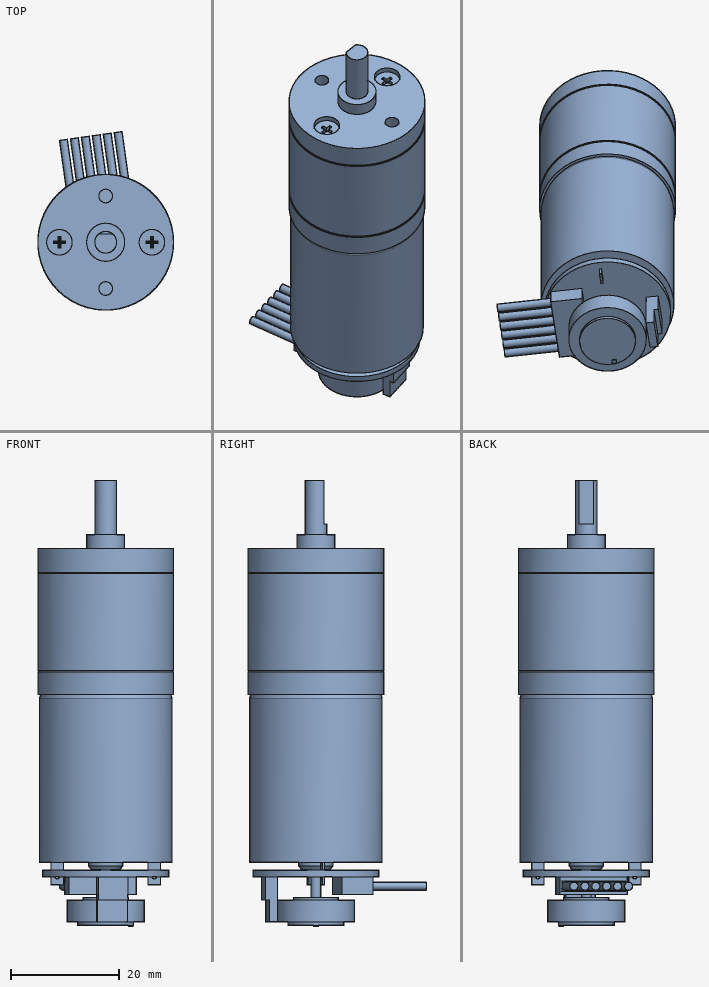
import cadquery as cq
import math


SHAFT_DIA = 4.0
SHAFT_TOP = 12.5
SHAFT_FLAT_DEPTH = 0.5
BOSS_DIA = 7.0
BOSS_HEIGHT = 2.5
ROUND_LENGTH = 2.0
FLAT_START = BOSS_HEIGHT + ROUND_LENGTH

GEARBOX_DIA = 25.0
END_PLATE_LENGTH = 4.4
RING_LENGTH = 18.1
GEARBOX_LENGTH = 2 * END_PLATE_LENGTH + RING_LENGTH
GROOVE_WIDTH = 0.25
GROOVE_DEPTH = 0.1

HOLE_CIRCLE_RADIUS = 8.5
MOUNT_HOLE_DIA = 2.5
MOUNT_HOLE_DEPTH = END_PLATE_LENGTH
SCREW_HEAD_DIA = 4.7
SCREW_HEAD_RECESS = 1.0
CROSS_LENGTH = 2.2
CROSS_WIDTH = 0.5
CROSS_DEPTH = 0.8
CROSS_TAPER = 12.0

MOTOR_DIA = 24.4
SHOULDER_DIA = 24.0
SHOULDER_LENGTH = 0.7
MOTOR_BOTTOM = -57.7

BEARING_DIA = 6.3
BEARING_TIP_DIA = 5.2
BEARING_LENGTH = 0.7
BEARING_CONE_LENGTH = 0.7

ENCODER_ANGLE = 8.0
BOARD_DIA = 23.2
BOARD_TOP = -59.15
BOARD_THICKNESS = 1.25
BOARD_BOTTOM = BOARD_TOP - BOARD_THICKNESS

TERMINAL_OFFSET = 9.0
TERMINAL_WIDTH = 2.3
TERMINAL_THICKNESS = 0.4
TERMINAL_BOTTOM = -61.85
TERMINAL_HOLE_DIA = 0.8
TERMINAL_HOLE_REACH = 0.35

CONNECTOR_LENGTH = 12.5
CONNECTOR_FRONT = 3.95
CONNECTOR_DEPTH = 5.8
CONNECTOR_BOTTOM = -63.65
CONNECTOR_BACK = CONNECTOR_FRONT + CONNECTOR_DEPTH
SOCKET_LENGTH = 11.8
SOCKET_HEIGHT = 2.0
SOCKET_DEPTH = 2.0
SOCKET_FLOOR = CONNECTOR_BACK - SOCKET_DEPTH
WIRE_COUNT = 6
WIRE_DIA = 1.5
WIRE_PITCH = 2.03
WIRE_Z = -62.1
REAR_REACH = 20.35

REAR_SHAFT_DIA = 1.8
WHEEL_DIA = 14.24
WHEEL_TOP = -64.65
WHEEL_BOTTOM = -68.65
UPPER_HUB_DIA = 8.3
UPPER_HUB_HEIGHT = 0.5
LOWER_HUB_DIA = 10.3
LOWER_HUB_HEIGHT = 0.65
MARK_DIA = 0.9
MARK_OFFSET = 4.6
PART_BOTTOM = -69.5

SENSOR_WIDTH = 5.5
SENSOR_FRONT = -9.75
SENSOR_BACK = -7.5
SENSOR_STEP = 0.8


def cylinder(diameter, bottom, top, x=0.0, y=0.0):
    """Upright cylinder between two heights."""
    return cq.Workplane("XY", origin=(x, y, bottom)).circle(diameter / 2).extrude(top - bottom)


def cone(bottom_diameter, top_diameter, bottom, top):
    """Frustum on the motor axis."""
    return (
        cq.Workplane("XY", origin=(0, 0, bottom))
        .circle(bottom_diameter / 2)
        .workplane(offset=top - bottom)
        .circle(top_diameter / 2)
        .loft(ruled=True)
    )


def block(x_range, y_range, z_range):
    """Box between pairs of limits."""
    sizes = [high - low for low, high in (x_range, y_range, z_range)]
    corner = (x_range[0], y_range[0], z_range[0])
    return cq.Workplane("XY").box(*sizes, centered=False).translate(corner)


def make_output_shaft():
    shaft = cylinder(SHAFT_DIA, 0, SHAFT_TOP)
    radius = SHAFT_DIA / 2
    flat = block((-radius, radius), (radius - SHAFT_FLAT_DEPTH, radius), (FLAT_START, SHAFT_TOP))
    return shaft.cut(flat).union(cylinder(BOSS_DIA, 0, BOSS_HEIGHT))


def make_cross_recess(x):
    top = -SCREW_HEAD_RECESS
    cross = cq.Workplane("XY", origin=(x, 0, top))
    arm = cross.rect(CROSS_LENGTH, CROSS_WIDTH).extrude(-CROSS_DEPTH, taper=CROSS_TAPER)
    other_arm = cross.rect(CROSS_WIDTH, CROSS_LENGTH).extrude(-CROSS_DEPTH, taper=CROSS_TAPER)
    return arm.union(other_arm)


def make_gearbox():
    gearbox = cylinder(GEARBOX_DIA, -GEARBOX_LENGTH, 0)
    for groove_top in (-END_PLATE_LENGTH, -END_PLATE_LENGTH - RING_LENGTH):
        groove_bottom = groove_top - GROOVE_WIDTH
        core = cylinder(GEARBOX_DIA - 2 * GROOVE_DEPTH, groove_bottom, groove_top)
        gearbox = gearbox.cut(cylinder(GEARBOX_DIA, groove_bottom, groove_top).cut(core))
    for side in (-1, 1):
        offset = side * HOLE_CIRCLE_RADIUS
        gearbox = gearbox.cut(cylinder(MOUNT_HOLE_DIA, -MOUNT_HOLE_DEPTH, 0, y=offset))
        gearbox = gearbox.cut(cylinder(SCREW_HEAD_DIA, -SCREW_HEAD_RECESS, 0, x=offset))
        gearbox = gearbox.cut(make_cross_recess(offset))
    return gearbox


def make_motor():
    shoulder_bottom = -GEARBOX_LENGTH - SHOULDER_LENGTH
    bearing_bottom = MOTOR_BOTTOM - BEARING_LENGTH
    can = cylinder(MOTOR_DIA, MOTOR_BOTTOM, shoulder_bottom)
    shoulder = cone(MOTOR_DIA, SHOULDER_DIA, shoulder_bottom, -GEARBOX_LENGTH)
    bearing = cylinder(BEARING_DIA, bearing_bottom, MOTOR_BOTTOM)
    tip = cone(BEARING_TIP_DIA, BEARING_DIA, bearing_bottom - BEARING_CONE_LENGTH, bearing_bottom)
    return can.union(shoulder).union(bearing).union(tip)


def make_terminal(x):
    half_width = TERMINAL_WIDTH / 2
    half_thickness = TERMINAL_THICKNESS / 2
    tab = block(
        (x - half_width, x + half_width),
        (-half_thickness, half_thickness),
        (TERMINAL_BOTTOM, MOTOR_BOTTOM),
    )
    hole_z = BOARD_BOTTOM - TERMINAL_HOLE_REACH + TERMINAL_HOLE_DIA / 2
    hole = (
        cq.Workplane("XZ", origin=(x, half_thickness, hole_z))
        .circle(TERMINAL_HOLE_DIA / 2)
        .extrude(TERMINAL_THICKNESS)
    )
    return tab.cut(hole)


def make_connector():
    """Connector body with a shallow socket where the wires enter."""
    half_length = CONNECTOR_LENGTH / 2
    half_socket = SOCKET_LENGTH / 2
    body = block(
        (-half_length, half_length),
        (CONNECTOR_FRONT, CONNECTOR_BACK),
        (CONNECTOR_BOTTOM, BOARD_BOTTOM),
    )
    socket = block(
        (-half_socket, half_socket),
        (SOCKET_FLOOR, CONNECTOR_BACK),
        (WIRE_Z - SOCKET_HEIGHT / 2, WIRE_Z + SOCKET_HEIGHT / 2),
    )
    return body.cut(socket)


def make_wires():
    half_row = WIRE_PITCH * (WIRE_COUNT - 1) / 2
    angle = math.radians(ENCODER_ANGLE)
    outer_edge = half_row + WIRE_DIA / 2
    wire_end = (REAR_REACH - outer_edge * math.sin(angle)) / math.cos(angle)
    positions = [(index * WIRE_PITCH - half_row, 0) for index in range(WIRE_COUNT)]
    return (
        cq.Workplane("XZ", origin=(0, SOCKET_FLOOR, WIRE_Z))
        .pushPoints(positions)
        .circle(WIRE_DIA / 2)
        .extrude(SOCKET_FLOOR - wire_end)
    )


def make_sensor():
    half_width = SENSOR_WIDTH / 2
    sides = (-half_width, half_width)
    upper = block(sides, (SENSOR_FRONT, SENSOR_BACK), (WHEEL_TOP, BOARD_BOTTOM))
    lower = block(sides, (SENSOR_FRONT + SENSOR_STEP, SENSOR_BACK), (WHEEL_BOTTOM, WHEEL_TOP))
    return upper.union(lower)


def make_magnet_wheel():
    wheel = cylinder(WHEEL_DIA, WHEEL_BOTTOM, WHEEL_TOP)
    upper_hub = cylinder(UPPER_HUB_DIA, WHEEL_TOP, WHEEL_TOP + UPPER_HUB_HEIGHT)
    lower_hub = cylinder(LOWER_HUB_DIA, WHEEL_BOTTOM - LOWER_HUB_HEIGHT, WHEEL_BOTTOM)
    mark = cylinder(MARK_DIA, PART_BOTTOM, WHEEL_BOTTOM, x=MARK_OFFSET)
    shaft = cylinder(REAR_SHAFT_DIA, WHEEL_TOP, MOTOR_BOTTOM)
    return wheel.union(upper_hub).union(lower_hub).union(mark).union(shaft)


def make_encoder():
    """Board with its connector, wires, sensor and terminals, turned about Z."""
    encoder = cylinder(BOARD_DIA, BOARD_BOTTOM, BOARD_TOP)
    for side in (-1, 1):
        encoder = encoder.union(make_terminal(side * TERMINAL_OFFSET))
    encoder = encoder.union(make_connector()).union(make_wires()).union(make_sensor())
    return encoder.rotate((0, 0, 0), (0, 0, 1), ENCODER_ANGLE)


result = (
    make_gearbox()
    .union(make_output_shaft())
    .union(make_motor())
    .union(make_encoder())
    .union(make_magnet_wheel())
)